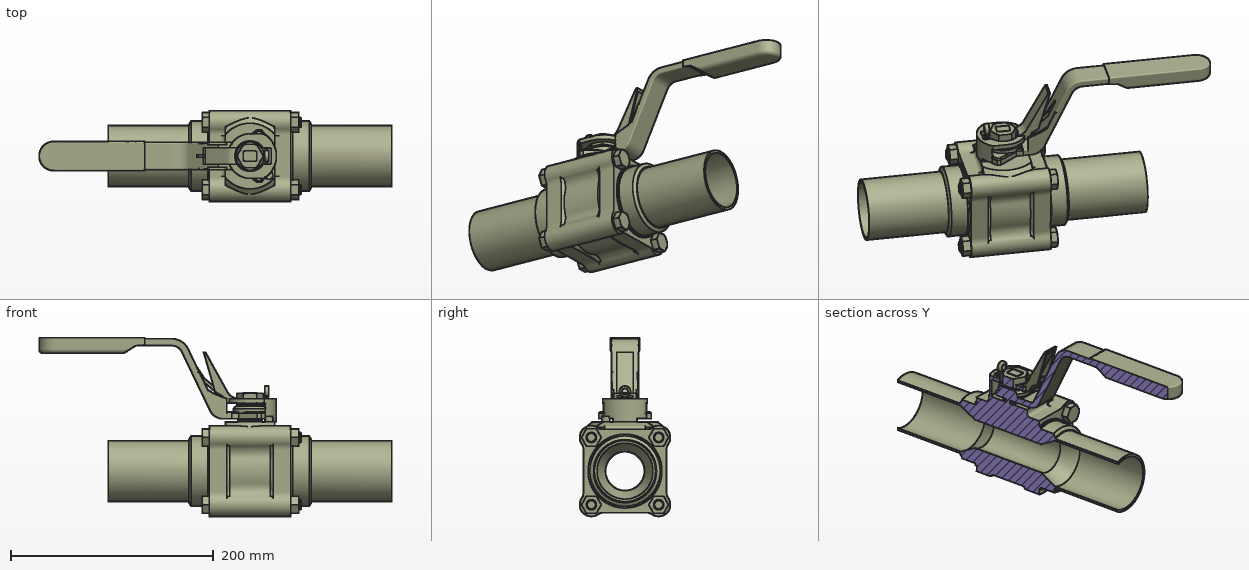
import math

import cadquery as cq


pipe_length = 280.0
pipe_dia = 60.33
pipe_bore_dia = 55.23
ball_bore_dia = 38.16
hub_dia = 69.47
hub_end_x = 58.2
hub_bevel = 2.3
hub_tip_dia = 62.2
hub_foot_dia = 73.0
hub_foot_length = 1.8
cone_start_x = 60.0
cone_end_x = 42.0

outer_width = 89.66
bolt_offset = 33.2
lobe_radius = outer_width / 2 - bolt_offset
flange_half_width = 41.1
flange_blend = 10.0
barrel_radius = 80.2 / 2
barrel_blend = 12.0
flange_outer_x = 40.06
cap_joint_x = 28.2
body_rim_x = 23.0
barrel_end_x = 20.0
hex_across_flats = 17.0
bolt_head_height = 7.3
nut_height = 8.0
hex_bevel = 0.8
bolt_dia = 10.0
bolt_end_x = 50.3
bolt_end_bevel = 0.8

pad_top_z = 48.5
pad_base_z = 43.5
pad_radius = 32.4
pad_base_radius = 38.2
pad_half_length = 24.5
pad_foot_width = 40.0

serrated_ring_dia = 24.0
serration_count = 24
serration_width = 1.2
serration_depth = 0.8
gland_dia = 33.0
gland_top_z = 64.2
gland_bevel = 2.5
spacer_dia = 21.1
nut_bottom_z = 65.5
nut_top_z = 76.8
stem_nut_corners = 26.5
stem_nut_bevel = 0.8
stem_dia_x = 13.5
stem_dia_y = 10.0
stem_corner = 1.5
stem_top_z = 77.3

overall_length = 348.24
overall_height = 176.55
handle_end_x = pipe_length / 2 - overall_length
handle_top_z = overall_height - outer_width / 2
grip_width = 29.0
grip_end_x = -104.0
grip_depth = 15.5
grip_mouth_depth = 8.2
grip_lip = 1.0
grip_taper_start_x = -124.5
grip_taper_end_x = -113.0
grip_top_fillet = 1.5
grip_bottom_fillet = 4.0
arm_width = 26.8
arm_thickness = 7.0
arm_inset = 1.0
arm_top_z = handle_top_z - arm_inset
arm_bottom_z = 51.4
arm_slope = math.radians(64.3)
arm_bend_x = -66.0
arm_end_x = -18.0
bend_outer_radius = 18.0
bend_inner_radius = 11.0
foot_bend_radius = 14.5
arm_edge_fillet = 1.4
cheek_thickness = 2.2
cheek_end_x = -22.9
cheek_end_z = 71.3
cheek_knee_x = -42.0
cheek_knee_z = 80.5
cheek_corner_x = -36.5
cheek_corner_z = 77.0
cheek_start_x = -50.0
rib_thickness = 2.8
rib_outline = [(-52.5, 103.0), (-45.0, 91.5), (-30.0, 79.0), (-30.0, 77.0), (-33.0, 77.0), (-46.0, 88.0)]

stop_plate_half_width = 26.0
stop_plate_neck = 12.5
stop_plate_flare_start_x = -11.0
stop_plate_flare_end_x = 7.0
stop_plate_ear_x = 11.0
stop_plate_end_x = 15.0
stop_plate_end_half_width = 21.0
stop_plate_bevel = 1.5
stop_pin_dia = 8.0
stop_pin_x = 18.5
stop_pin_y = -19.0
stop_pin_top_z = 54.0

lock_bottom_z = 67.0
lock_top_z = 71.5
lock_radius = 26.0
lock_half_width = 22.0
lock_hole_dia = 30.0
lock_neck_x = -24.5
ring_slot_end_x = 21.0
ring_slot_width = 16.0
ring_slot_corner = 2.0
lever_width = 16.4
lever_wall = 2.0
lever_root_fillet = 13.0
lever_seat = 1.0
lever_tip_depth = 3.0
lever_tip = (-46.0, 117.3)
lever_crotch = (-34.5, 78.0)
lever_root = (-18.6, lock_top_z)
lever_heel = (-27.5, 74.0)
lever_hollow_end = (-27.5, 81.0)
skirt_inner_radius = 23.0
skirt_start_x = 15.0
skirt_bottom_z = 52.0
tongue_width = 24.0
ring_x = 16.4
ring_thickness = 4.2
ring_outer_dia = 11.0
ring_bore_dia = 6.0
ring_top_z = 84.0
ring_rounding = 1.0
ring_leg_x = 15.4
ring_leg_dia = 2.4
ring_leg_spread = 2.0
ring_leg_bottom_z = 58.0
cross_wire_dia = 2.0
cross_wire_length = 15.0
cross_wire_z = 73.5


def x_cylinder(dia, x_start, x_end, y=0.0, z=0.0):
    return cq.Workplane("YZ", origin=(x_start, y, z)).circle(dia / 2).extrude(x_end - x_start)


def z_cylinder(dia, z_start, z_end, x=0.0, y=0.0):
    return cq.Workplane("XY", origin=(x, y, z_start)).circle(dia / 2).extrude(z_end - z_start)


def side_prism(points, width):
    """Extrude an X-Z outline symmetrically about the plane Y = 0."""
    return cq.Workplane("XZ").polyline(points).close().extrude(width / 2, both=True)


def fillet_bend(solid, x, z, radius):
    """Round the edge parallel to Y that passes nearest to the point (x, z)."""
    return solid.edges("|Y").edges(cq.selectors.NearestToPointSelector((x, 0, z))).fillet(radius)


def point_toward(start, target, distance):
    span = math.dist(start, target)
    return tuple(s + (t - s) * distance / span for s, t in zip(start, target))


def barrel_blend_centre():
    """Centre of the hollow that touches both the barrel and a bolt lobe."""
    diagonal = bolt_offset * math.sqrt(2)
    to_barrel = barrel_radius + barrel_blend
    to_lobe = lobe_radius + barrel_blend
    along = (to_barrel**2 - to_lobe**2 + diagonal**2) / (2 * diagonal)
    across = math.sqrt(to_barrel**2 - along**2)
    return ((along + across) / math.sqrt(2), (along - across) / math.sqrt(2))


def flange_blend_centre():
    """Centre of the hollow that touches both the flat side and a bolt lobe."""
    inset = flange_half_width + flange_blend
    drop = math.sqrt((lobe_radius + flange_blend) ** 2 - (inset - bolt_offset) ** 2)
    return (inset, bolt_offset - drop)


def four_lobed_outline(x, blend_centre, blend_radius, side_start, side_middle):
    """Closed Y-Z outline with four bolt lobes, joined by hollows to four equal sides."""
    lobe = (bolt_offset, bolt_offset)
    lobe_start = point_toward(lobe, blend_centre, lobe_radius)
    chord_middle = tuple((a + b) / 2 for a, b in zip(side_start, lobe_start))
    hollow_middle = point_toward(blend_centre, chord_middle, blend_radius)
    lobe_middle = (bolt_offset + lobe_radius / math.sqrt(2),) * 2

    def turned(point, quarter):
        for _ in range(quarter):
            point = (-point[1], point[0])
        return point

    def mirrored(point):
        return (point[1], point[0])

    outline = cq.Workplane("YZ", origin=(x, 0, 0)).moveTo(*side_start)
    for quarter in range(4):
        side_end = turned((side_start[0], -side_start[1]), quarter + 1)
        middle = turned(side_middle, quarter + 1)
        outline = outline.threePointArc(turned(hollow_middle, quarter), turned(lobe_start, quarter))
        outline = outline.threePointArc(turned(lobe_middle, quarter), turned(mirrored(lobe_start), quarter))
        outline = outline.threePointArc(turned(mirrored(hollow_middle), quarter), side_end)
        next_start = turned(side_start, quarter + 1)
        if side_middle[0] > side_start[0]:
            outline = outline.threePointArc(middle, next_start)
        else:
            outline = outline.lineTo(*next_start)
    return outline.close()


def flange_outline(x):
    centre = flange_blend_centre()
    side_start = (flange_half_width, centre[1])
    return four_lobed_outline(x, centre, flange_blend, side_start, (flange_half_width, 0))


def barrel_outline(x):
    centre = barrel_blend_centre()
    side_start = point_toward((0, 0), centre, barrel_radius)
    return four_lobed_outline(x, centre, barrel_blend, side_start, (barrel_radius, 0))


def rim_shoulder(side):
    """Slope that carries the barrel outline out to the flange outline; side is -1 or +1 along X."""
    barrel_wire = barrel_outline(side * barrel_end_x).wires().val()
    flange_wire = flange_outline(side * body_rim_x).wires().val()
    return cq.Workplane(cq.Solid.makeLoft([barrel_wire, flange_wire], True))


def pad_foot():
    """Hollow fillet between the rim of the body and the flat +X side of the pad."""
    size = cap_joint_x - pad_half_length
    block = cq.Workplane("XY").box(size, pad_foot_width, 2 * size, centered=(False, True, False))
    block = block.translate((pad_half_length, 0, flange_half_width - size))
    hollow = cq.Workplane("XZ", origin=(cap_joint_x, 0, flange_half_width + size)).circle(size)
    return block.cut(hollow.extrude(pad_foot_width, both=True))


def make_body():
    body = barrel_outline(-body_rim_x).extrude(2 * body_rim_x)
    rim = flange_outline(body_rim_x).extrude(flange_outer_x - body_rim_x)
    rim = rim.union(pad_foot())
    pad_cone = (
        cq.Workplane("XY", origin=(0, 0, pad_base_z)).circle(pad_base_radius)
        .workplane(offset=pad_top_z - pad_base_z).circle(pad_radius).loft(ruled=True)
    )
    pad_core = z_cylinder(2 * pad_radius, 0, pad_base_z)
    pad_limits = cq.Workplane("XY").box(2 * pad_half_length, outer_width, 2 * pad_top_z)
    body = body.union(pad_cone.union(pad_core).intersect(pad_limits))
    body = body.union(rim).union(rim.mirror("YZ"))
    return body.union(rim_shoulder(-1)).union(rim_shoulder(1))


def make_pipe_end():
    """Right-hand pipe with its bevelled welding hub."""
    hub_outline = [
        (0, 0),
        (0, hub_foot_dia / 2),
        (hub_foot_length, hub_foot_dia / 2),
        (hub_foot_length, hub_dia / 2),
        (hub_end_x - flange_outer_x, hub_dia / 2),
        (hub_end_x - flange_outer_x + hub_bevel, hub_tip_dia / 2),
        (hub_end_x - flange_outer_x + hub_bevel, pipe_dia / 2),
        (pipe_length / 2 - flange_outer_x, pipe_dia / 2),
        (pipe_length / 2 - flange_outer_x, 0),
    ]
    return (
        cq.Workplane("XY", origin=(flange_outer_x, 0, 0))
        .polyline(hub_outline).close().revolve(360, (0, 0, 0), (1, 0, 0))
    )


def make_bore():
    half_bore = [
        (0, 0),
        (0, ball_bore_dia / 2),
        (cone_end_x, ball_bore_dia / 2),
        (cone_start_x, pipe_bore_dia / 2),
        (pipe_length / 2, pipe_bore_dia / 2),
        (pipe_length / 2, 0),
    ]
    right = cq.Workplane("XY").polyline(half_bore).close().revolve(360, (0, 0, 0), (1, 0, 0))
    return right.union(right.mirror("YZ"))


def make_bolt(y, z):
    """Through bolt: head on the -X side, nut and bolt end on the +X side."""
    corners = hex_across_flats / math.cos(math.pi / 6)
    head = cq.Workplane("YZ", origin=(-flange_outer_x - bolt_head_height, y, z))
    head = head.polygon(6, corners).extrude(bolt_head_height)
    head_round = x_cylinder(corners, -flange_outer_x - bolt_head_height, -flange_outer_x, y, z)
    head = head.intersect(head_round.faces("<X").chamfer(hex_bevel))
    nut = cq.Workplane("YZ", origin=(flange_outer_x, y, z)).polygon(6, corners).extrude(nut_height)
    shank = x_cylinder(bolt_dia, flange_outer_x, bolt_end_x, y, z).faces(">X").chamfer(bolt_end_bevel)
    return head.union(nut).union(shank)


def make_stem_stack():
    ring = z_cylinder(serrated_ring_dia, pad_top_z, arm_bottom_z)
    for index in range(serration_count):
        notch = cq.Workplane("XY").box(2 * serration_depth, serration_width, arm_bottom_z - pad_top_z)
        notch = notch.translate((serrated_ring_dia / 2, 0, (arm_bottom_z + pad_top_z) / 2))
        ring = ring.cut(notch.rotate((0, 0, 0), (0, 0, 1), index * 360 / serration_count))
    gland = z_cylinder(gland_dia, arm_bottom_z, gland_top_z).faces(">Z").chamfer(gland_bevel)
    spacer = z_cylinder(spacer_dia, gland_top_z, nut_bottom_z)
    nut = cq.Workplane("XY", origin=(0, 0, nut_bottom_z)).polygon(6, stem_nut_corners)
    nut = nut.extrude(nut_top_z - nut_bottom_z)
    nut_round = z_cylinder(stem_nut_corners, nut_bottom_z, nut_top_z).faces(">Z").chamfer(stem_nut_bevel)
    nut = nut.intersect(nut_round)
    stem = cq.Workplane("XY", origin=(0, 0, nut_bottom_z)).rect(stem_dia_x, stem_dia_y)
    stem = stem.extrude(stem_top_z - nut_bottom_z).edges("|Z").fillet(stem_corner)
    return ring.union(gland).union(spacer).union(nut).union(stem)


def make_grip():
    bottom_z = handle_top_z - grip_depth
    mouth_z = handle_top_z - grip_mouth_depth
    outline = [
        (handle_end_x, handle_top_z),
        (grip_end_x, handle_top_z),
        (grip_end_x, mouth_z + grip_lip),
        (grip_taper_end_x, mouth_z),
        (grip_taper_start_x, bottom_z),
        (handle_end_x, bottom_z),
    ]
    grip = side_prism(outline, grip_width)
    nose_centre_x = handle_end_x + grip_width / 2
    plan = cq.Workplane("XY").moveTo(grip_end_x, -grip_width / 2).lineTo(nose_centre_x, -grip_width / 2)
    plan = plan.threePointArc((handle_end_x, 0), (nose_centre_x, grip_width / 2))
    plan = plan.lineTo(grip_end_x, grip_width / 2).close()
    grip = grip.intersect(plan.extrude(handle_top_z))
    grip = grip.faces(">Z").edges("not(>X)").fillet(grip_top_fillet)
    return grip.faces("<Z").edges("not(>X)").fillet(grip_bottom_fillet)


def make_arm():
    """Bent flat bar running from inside the grip down to the stop plate."""
    miter = arm_thickness * math.tan(arm_slope / 2)
    upper_under = (arm_bend_x - miter, arm_top_z - arm_thickness)
    lower_under_x = upper_under[0] + (upper_under[1] - arm_bottom_z) / math.tan(arm_slope)
    lower_under = (lower_under_x, arm_bottom_z)
    floor_z = arm_bottom_z + arm_thickness
    lower_over = (lower_under_x + miter, floor_z)
    start_x = grip_end_x - arm_thickness
    outline = [
        (start_x, arm_top_z),
        (arm_bend_x, arm_top_z),
        lower_over,
        (arm_end_x, floor_z),
        (arm_end_x, arm_bottom_z),
        lower_under,
        upper_under,
        (start_x, arm_top_z - arm_thickness),
    ]
    arm = side_prism(outline, arm_width)
    arm = fillet_bend(arm, arm_bend_x, arm_top_z, bend_outer_radius)
    arm = fillet_bend(arm, *upper_under, bend_inner_radius)
    arm = fillet_bend(arm, *lower_under, foot_bend_radius)
    arm = arm.faces("<Y or >Y").edges("not(<X or >X)").fillet(arm_edge_fillet)

    def over_face_z(x):
        return arm_top_z - (x - arm_bend_x) * math.tan(arm_slope)

    seat_depth = arm_thickness / 2
    cheek_outline = [
        (cheek_start_x, over_face_z(cheek_start_x)),
        (cheek_knee_x, cheek_knee_z),
        (cheek_corner_x, cheek_corner_z),
        (cheek_end_x, cheek_end_z),
        (cheek_end_x, arm_bottom_z + seat_depth),
        (lower_under_x + miter, arm_bottom_z + seat_depth),
        (lower_under_x, floor_z),
        (cheek_start_x - seat_depth, over_face_z(cheek_start_x)),
    ]
    cheek = cq.Workplane("XZ").polyline(cheek_outline).close().extrude(cheek_thickness)
    cheek = cheek.translate((0, arm_width / 2, 0))
    return arm.union(cheek).union(cheek.mirror("XZ"))


def make_stop_plate():
    """Flared plate under the locking plate, symmetrical about the handle."""
    half_outline = [
        (arm_end_x, stop_plate_neck),
        (stop_plate_flare_start_x, stop_plate_neck),
        (stop_plate_flare_end_x, stop_plate_half_width),
        (stop_plate_ear_x, stop_plate_half_width),
        (stop_plate_end_x, stop_plate_end_half_width),
    ]
    outline = half_outline + [(x, -y) for x, y in reversed(half_outline)]
    plate = cq.Workplane("XY", origin=(0, 0, arm_bottom_z)).polyline(outline).close()
    plate = plate.extrude(arm_thickness).faces(">Z").chamfer(stop_plate_bevel)
    return plate.union(z_cylinder(stop_pin_dia, pad_top_z, stop_pin_top_z, stop_pin_x, stop_pin_y))


def make_lever():
    """Hollow thumb lever rising from the locking plate, with the rib that meets the arm."""
    tip_z = lever_tip[1]
    outline = [
        lever_tip,
        (lever_tip[0] + lever_wall, tip_z),
        lever_root,
        (0, lock_top_z),
        (0, lock_bottom_z + lever_seat),
        (lock_neck_x, lock_bottom_z + lever_seat),
        lever_heel,
        lever_crotch,
    ]
    lever = fillet_bend(side_prism(outline, lever_width), *lever_root, lever_root_fillet)
    hollow_outline = [
        (lever_tip[0] - lever_wall, tip_z - lever_tip_depth),
        (lever_tip[0] + lever_wall / 2, tip_z - lever_tip_depth),
        lever_hollow_end,
        lever_crotch,
        (lever_tip[0] - lever_wall, lever_crotch[1]),
    ]
    lever = lever.cut(side_prism(hollow_outline, lever_width - 2 * lever_wall))
    return lever.union(side_prism(rib_outline, rib_thickness))


def make_lock_plate():
    plate = z_cylinder(2 * lock_radius, lock_bottom_z, lock_top_z)
    limits = cq.Workplane("XY").box(
        lock_radius, 2 * lock_half_width, lock_top_z, centered=(False, True, False)
    )
    rear_disc = z_cylinder(2 * lock_half_width, lock_bottom_z, lock_top_z)
    neck = cq.Workplane("XY").box(
        -lock_neck_x, lever_width, lock_top_z - lock_bottom_z, centered=(False, True, False)
    ).translate((lock_neck_x, 0, lock_bottom_z))
    plate = plate.intersect(limits).union(rear_disc).union(neck).union(make_lever())
    plate = plate.cut(z_cylinder(lock_hole_dia, lock_bottom_z, stem_top_z))
    ring_slot = cq.Workplane("XY").box(
        ring_slot_end_x, ring_slot_width, stem_top_z - lock_bottom_z, centered=(False, True, False)
    ).edges("|Z and >X").fillet(ring_slot_corner).translate((0, 0, lock_bottom_z))
    plate = plate.cut(ring_slot)

    skirt = z_cylinder(2 * lock_radius, pad_top_z, lock_top_z)
    skirt = skirt.cut(z_cylinder(2 * skirt_inner_radius, pad_top_z, lock_top_z))
    upper_zone = cq.Workplane("XY").box(
        lock_radius, 2 * lock_half_width, lock_top_z - skirt_bottom_z, centered=(False, True, False)
    ).translate((skirt_start_x, 0, skirt_bottom_z))
    tongue_zone = cq.Workplane("XY").box(
        lock_radius, tongue_width, lock_top_z - pad_top_z, centered=(False, True, False)
    ).translate((skirt_start_x, 0, pad_top_z))
    return plate.union(skirt.intersect(upper_zone.union(tongue_zone)))


def make_padlock_ring():
    centre_z = ring_top_z - ring_outer_dia / 2
    ring = x_cylinder(ring_outer_dia, ring_x - ring_thickness / 2, ring_x + ring_thickness / 2, 0, centre_z)
    ring = ring.edges().fillet(ring_rounding)
    for y in (-ring_leg_spread, ring_leg_spread):
        leg_top_z = centre_z - ring_bore_dia / 2
        ring = ring.union(z_cylinder(ring_leg_dia, ring_leg_bottom_z, leg_top_z, ring_leg_x, y))
    cross_wire = cq.Workplane("XZ", origin=(ring_x, 0, cross_wire_z)).circle(cross_wire_dia / 2)
    ring = ring.union(cross_wire.extrude(cross_wire_length / 2, both=True))
    return ring.cut(x_cylinder(ring_bore_dia, ring_x - ring_thickness, ring_x + ring_thickness, 0, centre_z))


pipe_end = make_pipe_end()
valve = make_body().union(pipe_end).union(pipe_end.mirror("YZ"))
for bolt_y in (-bolt_offset, bolt_offset):
    for bolt_z in (-bolt_offset, bolt_offset):
        valve = valve.union(make_bolt(bolt_y, bolt_z))
valve = valve.cut(make_bore())
for component in (
    make_stem_stack(), make_stop_plate(), make_arm(), make_grip(), make_lock_plate(), make_padlock_ring()
):
    valve = valve.union(component)
result = valve